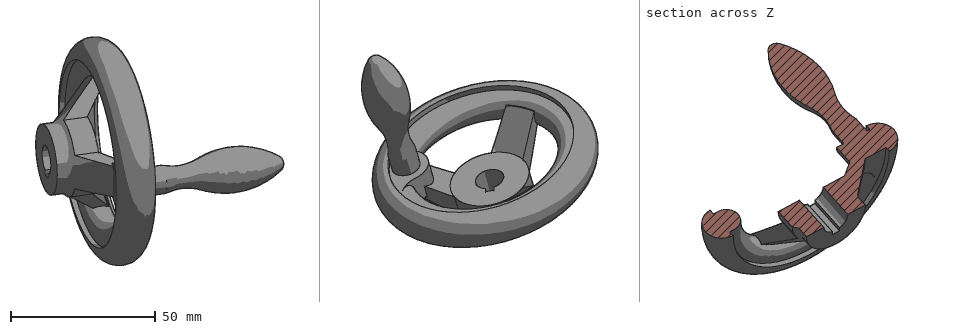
import cadquery as cq
import math

RIM_MID_Y = 22.0
GRIP_RADIUS = 7.0
CORE_RADIUS = 5.0
SEAM_RADIUS = 33.0
RIM_INNER_RADIUS = 26.0
CORE_CENTER_RADIUS = RIM_INNER_RADIUS + CORE_RADIUS
RIM_FRONT_Y = RIM_MID_Y - GRIP_RADIUS
RIM_BACK_Y = RIM_MID_Y + GRIP_RADIUS
CORE_FRONT_Y = RIM_MID_Y - CORE_RADIUS
CORE_BACK_Y = RIM_MID_Y + CORE_RADIUS

NOSE_RADIUS = 12.5
HUB_RADIUS = 14.0
HUB_BACK_Y = RIM_FRONT_Y
NOSE_LENGTH = 3.8
CONE_ANGLE = math.radians(44)
NOSE_FILLET = 2.5
CONE_START_RADIUS = NOSE_RADIUS + NOSE_FILLET * (1 - math.cos(CONE_ANGLE))
CONE_START_Y = NOSE_LENGTH + NOSE_FILLET * math.sin(CONE_ANGLE)
BORE_RADIUS = 5.0
KEYWAY_WIDTH = 3.0
KEYWAY_REACH = 6.4

SPOKE_COUNT = 3
SPOKE_ROOT_HALF_WIDTH = 7.15
SPOKE_BAR_LENGTH = 30.0
SPOKE_END_HALF_WIDTH = 5.55
SPOKE_TIP_RADIUS = 27.0
SPOKE_BACK_SLOPE = 0.8

HANDLE_X = 27.0
BOSS_RADIUS = 8.0
BLEND_RADIUS = 9.0
BLEND_CENTER_DISTANCE = 24.8

SHANK_RADIUS = 5.0
SHANK_END_Y = 33.75
NECK_RADIUS = 4.05
NECK_Y = 40.0
SWELL_RADIUS = 5.6
SWELL_Y = 47.3
BELLY_RADIUS = 8.0
BELLY_Y = 59.2
TIP_EDGE_RADIUS = 2.5
TIP_EDGE_Y = 76.4
TIP_Y = 77.65
TIP_HEIGHT = TIP_Y - TIP_EDGE_Y
TIP_SPHERE_RADIUS = (TIP_EDGE_RADIUS**2 + TIP_HEIGHT**2) / (2 * TIP_HEIGHT)


def cone_y(radius):
    """Y of the front cone at a given distance from the wheel axis."""
    return CONE_START_Y + (radius - CONE_START_RADIUS) / math.tan(CONE_ANGLE)


def spoke_back_y(radius):
    """Y of the spoke backs at a given distance from the wheel axis."""
    return HUB_BACK_Y + SPOKE_BACK_SLOPE * (radius - HUB_RADIUS)


def revolve_about_y(profile, axis_x=0.0):
    return profile.close().revolve(360, (axis_x, 0, 0), (axis_x, 1, 0))


def wheel_sketch(y):
    """Workplane square to the wheel axis: local x is X, local y is Z, normal points to -Y."""
    return cq.Workplane("XZ", origin=(0, y, 0))


def triangle_angle(side_a, side_b, opposite):
    """Angle between two triangle sides, given the side opposite to it."""
    return math.acos((side_a**2 + side_b**2 - opposite**2) / (2 * side_a * side_b))


def mirrored(point):
    """Mirror image of a wheel sketch point across the X axis."""
    return (point[0], -point[1])


def make_rim():
    profile = (
        cq.Workplane("XY")
        .moveTo(SEAM_RADIUS, CORE_FRONT_Y)
        .lineTo(SEAM_RADIUS, RIM_FRONT_Y)
        .threePointArc((SEAM_RADIUS + GRIP_RADIUS, RIM_MID_Y), (SEAM_RADIUS, RIM_BACK_Y))
        .lineTo(SEAM_RADIUS, CORE_BACK_Y)
        .lineTo(CORE_CENTER_RADIUS, CORE_BACK_Y)
        .threePointArc((RIM_INNER_RADIUS, RIM_MID_Y), (CORE_CENTER_RADIUS, CORE_FRONT_Y))
    )
    return revolve_about_y(profile)


def make_hub_disc():
    """Round blank with the hub and spoke section: nose, conical front and conical back."""
    half = CONE_ANGLE / 2
    blend_middle = (
        NOSE_RADIUS + NOSE_FILLET * (1 - math.cos(half)),
        NOSE_LENGTH + NOSE_FILLET * math.sin(half),
    )
    profile = (
        cq.Workplane("XY")
        .lineTo(NOSE_RADIUS, 0)
        .lineTo(NOSE_RADIUS, NOSE_LENGTH)
        .threePointArc(blend_middle, (CONE_START_RADIUS, CONE_START_Y))
        .lineTo(SPOKE_TIP_RADIUS, cone_y(SPOKE_TIP_RADIUS))
        .lineTo(SPOKE_TIP_RADIUS, spoke_back_y(SPOKE_TIP_RADIUS))
        .lineTo(HUB_RADIUS, HUB_BACK_Y)
        .lineTo(0, HUB_BACK_Y)
    )
    return revolve_about_y(profile)


def make_hub_and_spokes():
    """Blank trimmed to the hub cylinder and the tapered spokes around it."""
    outline = wheel_sketch(0).circle(HUB_RADIUS).extrude(-RIM_BACK_Y)
    bar = (
        wheel_sketch(0)
        .moveTo(0, -SPOKE_ROOT_HALF_WIDTH)
        .lineTo(SPOKE_BAR_LENGTH, -SPOKE_END_HALF_WIDTH)
        .lineTo(SPOKE_BAR_LENGTH, SPOKE_END_HALF_WIDTH)
        .lineTo(0, SPOKE_ROOT_HALF_WIDTH)
        .close()
        .extrude(-RIM_BACK_Y)
    )
    for index in range(SPOKE_COUNT):
        outline = outline.union(bar.rotate((0, 0, 0), (0, 1, 0), index * 360 / SPOKE_COUNT))
    return make_hub_disc().intersect(outline)


def make_handle_boss():
    """Boss around the handle, flaring through two concave blends out to the rim seam."""
    boss_to_blend = BOSS_RADIUS + BLEND_RADIUS
    center_angle = triangle_angle(HANDLE_X, BLEND_CENTER_DISTANCE, boss_to_blend)
    center_x = BLEND_CENTER_DISTANCE * math.cos(center_angle)
    center_z = BLEND_CENTER_DISTANCE * math.sin(center_angle)

    share = BOSS_RADIUS / boss_to_blend
    touch = (HANDLE_X + share * (center_x - HANDLE_X), share * center_z)

    seam_angle = center_angle - triangle_angle(SEAM_RADIUS, BLEND_CENTER_DISTANCE, BLEND_RADIUS)
    seam = (SEAM_RADIUS * math.cos(seam_angle), SEAM_RADIUS * math.sin(seam_angle))

    touch_direction = math.atan2(touch[1] - center_z, touch[0] - center_x)
    seam_direction = math.atan2(seam[1] - center_z, seam[0] - center_x)
    middle_direction = (touch_direction + seam_direction) / 2
    blend_middle = (
        center_x + BLEND_RADIUS * math.cos(middle_direction),
        center_z + BLEND_RADIUS * math.sin(middle_direction),
    )
    return (
        wheel_sketch(CORE_FRONT_Y)
        .moveTo(*mirrored(touch))
        .threePointArc((HANDLE_X - BOSS_RADIUS, 0), touch)
        .threePointArc(blend_middle, seam)
        .threePointArc((SEAM_RADIUS, 0), mirrored(seam))
        .threePointArc(mirrored(blend_middle), mirrored(touch))
        .close()
        .extrude(-2 * CORE_RADIUS)
    )


def make_handle():
    half_tip_angle = math.asin(TIP_EDGE_RADIUS / TIP_SPHERE_RADIUS) / 2
    tip_middle = (
        HANDLE_X + TIP_SPHERE_RADIUS * math.sin(half_tip_angle),
        TIP_Y - TIP_SPHERE_RADIUS * (1 - math.cos(half_tip_angle)),
    )
    profile = (
        cq.Workplane("XY")
        .moveTo(HANDLE_X, RIM_MID_Y)
        .lineTo(HANDLE_X + SHANK_RADIUS, RIM_MID_Y)
        .lineTo(HANDLE_X + SHANK_RADIUS, SHANK_END_Y)
        .threePointArc((HANDLE_X + NECK_RADIUS, NECK_Y), (HANDLE_X + SWELL_RADIUS, SWELL_Y))
        .threePointArc((HANDLE_X + BELLY_RADIUS, BELLY_Y), (HANDLE_X + TIP_EDGE_RADIUS, TIP_EDGE_Y))
        .threePointArc(tip_middle, (HANDLE_X, TIP_Y))
    )
    return revolve_about_y(profile, HANDLE_X)


def make_keyed_bore():
    bore = wheel_sketch(0).circle(BORE_RADIUS).extrude(-HUB_BACK_Y)
    keyway = (
        wheel_sketch(0)
        .center(0, -KEYWAY_REACH / 2)
        .rect(KEYWAY_WIDTH, KEYWAY_REACH)
        .extrude(-HUB_BACK_Y)
    )
    return bore.union(keyway)


wheel = make_rim().union(make_handle_boss()).union(make_hub_and_spokes())
result = wheel.union(make_handle()).cut(make_keyed_bore())